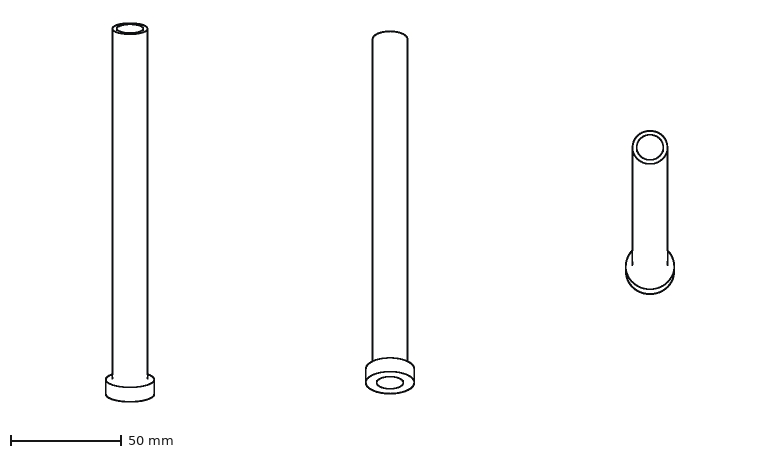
import cadquery as cq

total_length = 175.0
head_diameter = 22.0
head_height = 7.0
tube_diameter = 16.0
bore_diameter = 12.0
root_fillet = 0.5

head = cq.Workplane("XY").circle(head_diameter / 2).extrude(head_height)
tube = cq.Workplane("XY").circle(tube_diameter / 2).extrude(total_length)
body = head.union(tube)

root_edge = cq.selectors.RadiusNthSelector(0)
body = body.faces("<Z[1]").edges(root_edge).fillet(root_fillet)

bore = cq.Workplane("XY").circle(bore_diameter / 2).extrude(total_length)
result = body.cut(bore)